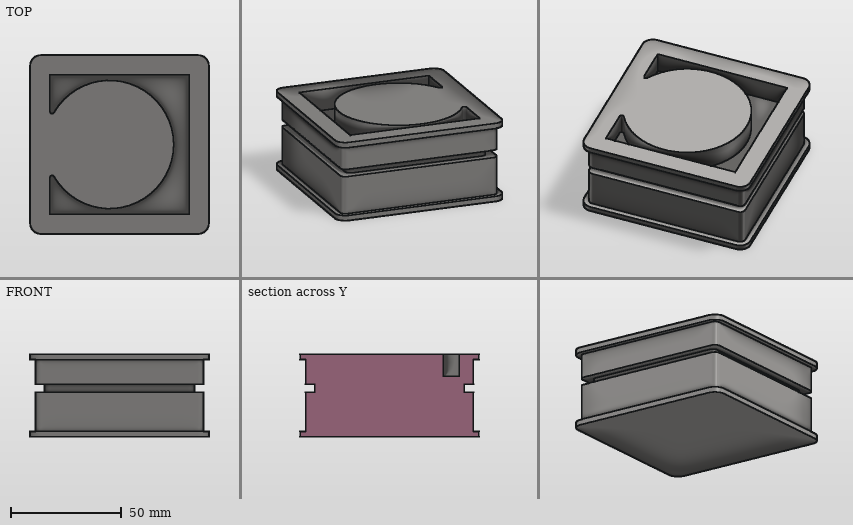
import cadquery as cq
import math

flange_side = 81.0
flange_thickness = 2.5
flange_corner_radius = 5.0

flange_overhang = 2.5
body_side = flange_side - 2 * flange_overhang
body_corner_radius = flange_corner_radius - flange_overhang

groove_depth = 4.0
groove_width = 3.5
neck_side = body_side - 2 * groove_depth
neck_corner_radius = 2.5

total_height = 37.5
lower_body_height = 17.75
upper_body_height = total_height - 2 * flange_thickness - lower_body_height - groove_width

pocket_side = 63.0
pocket_depth = 10.0
island_radius = 29.0
island_center_x = -4.5
island_root_fillet = 1.0


def rounded_square(side, corner_radius, bottom_z, height):
    """Square plate with rounded vertical corners, standing on bottom_z."""
    plate = cq.Workplane("XY", origin=(0, 0, bottom_z)).rect(side, side).extrude(height)
    return plate.edges("|Z").fillet(corner_radius)


def make_spool():
    """Stack of flange, lower body, grooved neck, upper body and flange."""
    layers = [
        (flange_side, flange_corner_radius, flange_thickness),
        (body_side, body_corner_radius, lower_body_height),
        (neck_side, neck_corner_radius, groove_width),
        (body_side, body_corner_radius, upper_body_height),
        (flange_side, flange_corner_radius, flange_thickness),
    ]
    spool = cq.Workplane("XY")
    bottom_z = 0.0
    for side, corner_radius, height in layers:
        spool = spool.union(rounded_square(side, corner_radius, bottom_z, height))
        bottom_z += height
    return spool


def make_pocket():
    """Volume removed from the top: a square around the island, rounded at the island's root."""
    floor = cq.Workplane("XY", origin=(0, 0, total_height - pocket_depth))
    square = floor.rect(pocket_side, pocket_side).extrude(pocket_depth)
    island = floor.center(island_center_x, 0).circle(island_radius).extrude(pocket_depth)
    pocket = square.cut(island)

    wall_x = -pocket_side / 2
    root_y = math.sqrt(island_radius**2 - (wall_x - island_center_x) ** 2)
    middle_z = total_height - pocket_depth / 2
    for side_sign in (-1, 1):
        root_point = (wall_x, side_sign * root_y, middle_z)
        root_edge = pocket.edges("|Z").edges(cq.NearestToPointSelector(root_point))
        pocket = root_edge.fillet(island_root_fillet)
    return pocket


result = make_spool().cut(make_pocket())